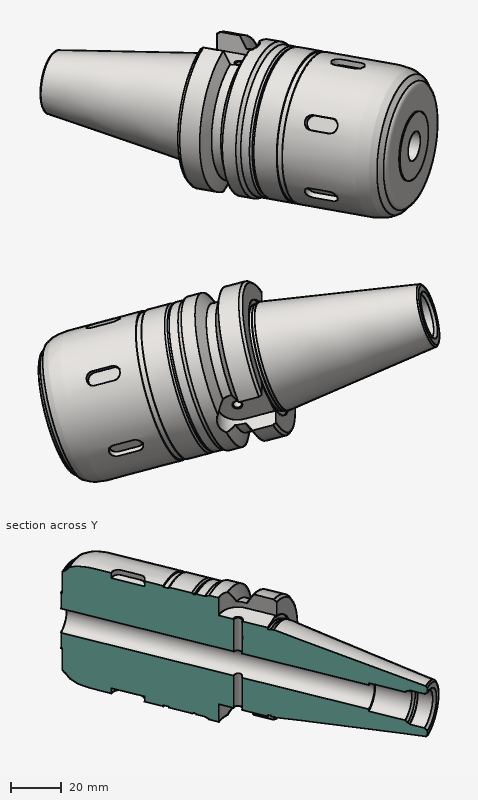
import cadquery as cq
import math

length = 155.4
flange_d = 63.0

gauge_x = 65.1
small_end_d = 25.5
small_end_chamfer = 0.6
taper_slope = 7 / 24
gauge_d = small_end_d + taper_slope * gauge_x

neck_d = 43.5
neck_land_d = 44.1
neck_land_end_x = 66.2
neck_start_x = 66.5

flange_x = 67.1
flange_chamfer_length = 1.2
flange_chamfer_height = 1.0
face_recess_d = 47.2
face_recess_depth = 0.5
vee_start_x = 77.0
vee_end_x = 86.7
vee_floor_d = 52.8
vee_angle = 60.0
vee_flank = (flange_d - vee_floor_d) / 2 * math.tan(math.radians(vee_angle / 2))
collar_end_x = 92.5

nut_x = 94.2
nut_d = 61.0
groove_d = 60.0
narrow_groove_start_x = 97.9
narrow_groove_end_x = 99.8
wide_groove_start_x = 109.5
wide_groove_end_x = 111.9

crown_x = 143.3
crown_mid_x = 146.0
crown_mid_d = 60.6
shoulder_x = 148.9
shoulder_d = 59.2
bevel_x = 151.7
bevel_d = 56.4
rim_x = 153.5
rim_d = 51.9
rim_arc_radius = 2.3
front_face_x = 155.0
front_face_d = 47.4
nose_d = 28.0

mouth_d = 19.3
pilot_d = 17.0
pilot_depth = 7.5
thread_d = 16.0
thread_depth = 8.4
thread_core_d = 14.0
thread_core_depth = 24.9
bore_d = 12.0

key_width = 16.2
key_floor_z = 22.5
key_height = flange_d / 2 - key_floor_z
key_end_x = 88.5
key_center_x = key_end_x - key_width / 2

cross_hole_d = 3.4
cross_hole_mouth_d = 4.0

slot_count = 6
slot_center_x = 127.0
slot_length = 14.0
slot_width = 6.0
slot_depth = 2.6


def make_body():
    """Revolve the half outline of the holder about the X axis."""
    outline = (
        cq.Workplane("XY")
        .moveTo(0, 0)
        .lineTo(0, small_end_d / 2 - small_end_chamfer)
        .lineTo(small_end_chamfer, (small_end_d + taper_slope * small_end_chamfer) / 2)
        .lineTo(gauge_x, gauge_d / 2)
        .lineTo(gauge_x, neck_land_d / 2)
        .lineTo(neck_land_end_x, neck_land_d / 2)
        .lineTo(neck_start_x, neck_d / 2)
        .lineTo(flange_x + face_recess_depth, neck_d / 2)
        .lineTo(flange_x + face_recess_depth, face_recess_d / 2)
        .lineTo(flange_x, face_recess_d / 2)
        .lineTo(flange_x, flange_d / 2 - flange_chamfer_height)
        .lineTo(flange_x + flange_chamfer_length, flange_d / 2)
        .lineTo(vee_start_x, flange_d / 2)
        .lineTo(vee_start_x + vee_flank, vee_floor_d / 2)
        .lineTo(vee_end_x - vee_flank, vee_floor_d / 2)
        .lineTo(vee_end_x, flange_d / 2)
        .lineTo(collar_end_x, flange_d / 2)
        .lineTo(nut_x, nut_d / 2)
        .lineTo(narrow_groove_start_x, nut_d / 2)
        .lineTo((narrow_groove_start_x + narrow_groove_end_x) / 2, groove_d / 2)
        .lineTo(narrow_groove_end_x, nut_d / 2)
        .lineTo(wide_groove_start_x, nut_d / 2)
        .lineTo(wide_groove_start_x, groove_d / 2)
        .lineTo(wide_groove_end_x, groove_d / 2)
        .lineTo(wide_groove_end_x, nut_d / 2)
        .lineTo(crown_x, nut_d / 2)
        .threePointArc((crown_mid_x, crown_mid_d / 2), (shoulder_x, shoulder_d / 2))
        .lineTo(bevel_x, bevel_d / 2)
        .lineTo(rim_x, rim_d / 2)
        .radiusArc((front_face_x, front_face_d / 2), rim_arc_radius)
        .lineTo(front_face_x, nose_d / 2)
        .lineTo(length, nose_d / 2)
        .lineTo(length, 0)
        .close()
    )
    return outline.revolve(360, (0, 0, 0), (1, 0, 0))


def make_bore():
    """Stepped through bore, narrowing from the small end of the taper."""
    outline = (
        cq.Workplane("XY")
        .moveTo(0, 0)
        .lineTo(0, mouth_d / 2)
        .lineTo((mouth_d - pilot_d) / 2, pilot_d / 2)
        .lineTo(pilot_depth, pilot_d / 2)
        .lineTo(pilot_depth, thread_d / 2)
        .lineTo(thread_depth, thread_d / 2)
        .lineTo(thread_depth + (thread_d - thread_core_d) / 2, thread_core_d / 2)
        .lineTo(thread_core_depth, thread_core_d / 2)
        .lineTo(thread_core_depth, bore_d / 2)
        .lineTo(length, bore_d / 2)
        .lineTo(length, 0)
        .close()
    )
    return outline.revolve(360, (0, 0, 0), (1, 0, 0))


def make_keyway():
    """Round-ended keyway above the axis, open towards the taper."""
    straight = (
        cq.Workplane("XY", origin=(0, 0, key_floor_z))
        .rect(key_center_x, key_width)
        .extrude(key_height)
        .translate((key_center_x / 2, 0, 0))
    )
    round_end = (
        cq.Workplane("XY", origin=(key_center_x, 0, key_floor_z))
        .circle(key_width / 2)
        .extrude(key_height)
    )
    return straight.union(round_end)


def make_cross_hole():
    """Radial hole above the axis, chamfered where it meets the keyway floor."""
    chamfer = (cross_hole_mouth_d - cross_hole_d) / 2
    outline = (
        cq.Workplane("XZ")
        .moveTo(0, 0)
        .lineTo(cross_hole_d / 2, 0)
        .lineTo(cross_hole_d / 2, key_floor_z - chamfer)
        .lineTo(cross_hole_mouth_d / 2, key_floor_z)
        .lineTo(0, key_floor_z)
        .close()
    )
    return outline.revolve(360, (0, 0, 0), (0, 1, 0)).translate((key_center_x, 0, 0))


def make_spanner_slot():
    """Blind slot cut radially into the top of the nut."""
    return (
        cq.Workplane("XY", origin=(slot_center_x, 0, nut_d / 2 - slot_depth))
        .slot2D(slot_length, slot_width)
        .extrude(2 * slot_depth)
    )


def about_axis(tool, angle):
    """Turn a cutting tool about the tool axis."""
    return tool.rotate((0, 0, 0), (1, 0, 0), angle)


result = make_body().cut(make_bore())

for angle in (0, 180):
    result = result.cut(about_axis(make_keyway(), angle))
    result = result.cut(about_axis(make_cross_hole(), angle))

for i in range(slot_count):
    result = result.cut(about_axis(make_spanner_slot(), i * 360 / slot_count))